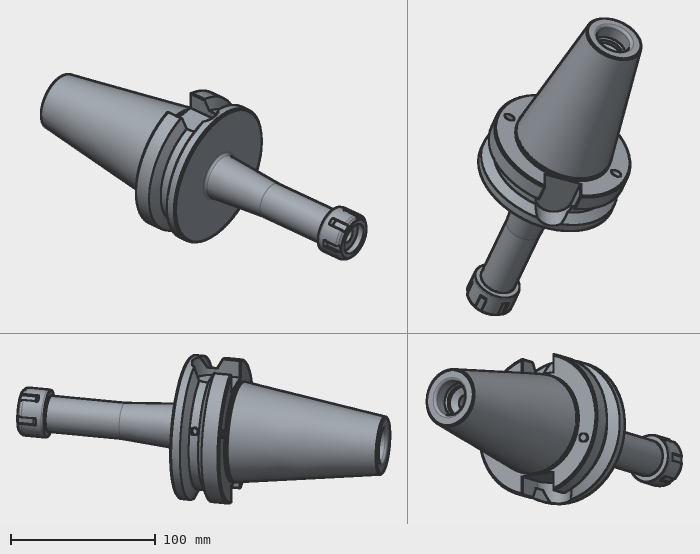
import cadquery as cq
import math

TAPER_END = 101.8
FLANGE_FRONT = 104.9
GROOVE_FRONT = 117.2
GROOVE_REAR = 132.5
FLANGE_REAR = 139.8
NECK_START = 141.5
SHANK_START = 185.0
NUT_REAR = 238.0
NUT_FRONT = 257.0
NOSE_END = 251.9

TAPER_RADIUS = 35.0
TAPER_RATIO = 7 / 24
TAPER_TIP_RADIUS = TAPER_RADIUS - TAPER_END * TAPER_RATIO / 2
TIP_CHAMFER = 0.8
RELIEF_DEPTH = 0.8
RELIEF_START = 102.5
RELIEF_END = 104.0
FLANGE_RADIUS = 49.99
FLANGE_CHAMFER = 1.0
GROOVE_RADIUS = 42.5
GROOVE_WALL_ANGLE = 30
GROOVE_WALL_RUN = (FLANGE_RADIUS - GROOVE_RADIUS) * math.tan(math.radians(GROOVE_WALL_ANGLE))

NECK_RADIUS = 16.0
SHANK_RADIUS = 12.5
SHANK_CHAMFER = 0.8
NOSE_RADIUS = 11.0

MOUTH_RADIUS = 14.1
MOUTH_FILLET = 2.0
PILOT_RADIUS = MOUTH_RADIUS - MOUTH_FILLET
PILOT_DEPTH = 10.8
THREAD_RADIUS = 10.5
THREAD_DEPTH = 15.0
DRILL_POINT_ANGLE = 118
COOLANT_RADIUS = 5.1

SLOT_WIDTH = 25.7
SLOT_FLOOR = 35.2
SLOT_END = 136.0
SLOT_BEVEL = 0.8
SLOT_ANGLES = (0, 180)

INLET_RADIUS = 2.8
INLET_PITCH_RADIUS = 41.6
INLET_ANGLES = (20, 200)
INLET_TILT = 40
INLET_DEPTH = 7.7
CROSS_HOLE_RADIUS = 2.5
CROSS_HOLE_DEPTH = 5.1

NUT_RADIUS = 16.7
NUT_REAR_BEVEL = 0.39
NUT_REAR_BEVEL_LENGTH = 1.5
NUT_CHAMFER = 2.3
NUT_CHAMFER_ANGLE = 45
NUT_BLEND = 2.5
NUT_SLOTS = 6
NUT_SLOT_WIDTH = 5.1
NUT_SLOT_START = 243.0
NUT_SLOT_RUNOUT = 2.3
NUT_SLOT_FLOOR = 15.0


def revolve_about_x(profile):
    """Close a half profile and spin it around the spindle axis."""
    return profile.close().revolve(360, (0, 0, 0), (1, 0, 0))


def turn_about_x(body, angle):
    """Turn a body around the spindle axis; positive angles go from +Y towards +Z."""
    return body.rotate((0, 0, 0), (1, 0, 0), angle)


def holder_blank():
    """Taper, V-grooved flange, neck, shank and the nose that carries the nut."""
    relief_radius = TAPER_RADIUS - RELIEF_DEPTH
    rim_radius = FLANGE_RADIUS - FLANGE_CHAMFER
    fillet = NECK_START - FLANGE_REAR
    return revolve_about_x(
        cq.Workplane("XY")
        .moveTo(0, 0)
        .lineTo(0, TAPER_TIP_RADIUS - TIP_CHAMFER)
        .lineTo(TIP_CHAMFER, TAPER_TIP_RADIUS + TIP_CHAMFER * TAPER_RATIO / 2)
        .lineTo(TAPER_END, TAPER_RADIUS)
        .lineTo(RELIEF_START, TAPER_RADIUS)
        .lineTo(RELIEF_START, relief_radius)
        .lineTo(RELIEF_END, relief_radius)
        .lineTo(RELIEF_END, TAPER_RADIUS)
        .lineTo(FLANGE_FRONT, TAPER_RADIUS)
        .lineTo(FLANGE_FRONT, rim_radius)
        .lineTo(FLANGE_FRONT + FLANGE_CHAMFER, FLANGE_RADIUS)
        .lineTo(GROOVE_FRONT, FLANGE_RADIUS)
        .lineTo(GROOVE_FRONT + GROOVE_WALL_RUN, GROOVE_RADIUS)
        .lineTo(GROOVE_REAR - GROOVE_WALL_RUN, GROOVE_RADIUS)
        .lineTo(GROOVE_REAR, FLANGE_RADIUS)
        .lineTo(FLANGE_REAR - FLANGE_CHAMFER, FLANGE_RADIUS)
        .lineTo(FLANGE_REAR, rim_radius)
        .lineTo(FLANGE_REAR, NECK_RADIUS + fillet)
        .radiusArc((NECK_START, NECK_RADIUS), -fillet)
        .lineTo(SHANK_START, SHANK_RADIUS)
        .lineTo(NUT_REAR - SHANK_CHAMFER, SHANK_RADIUS)
        .lineTo(NUT_REAR, SHANK_RADIUS - SHANK_CHAMFER)
        .lineTo(NUT_REAR, NOSE_RADIUS)
        .lineTo(NOSE_END, NOSE_RADIUS)
        .lineTo(NOSE_END, 0)
    )


def holder_bore():
    """Rounded mouth, pilot bore, thread bore with drill point, and coolant bore right through."""
    point_run = (THREAD_RADIUS - COOLANT_RADIUS) / math.tan(math.radians(DRILL_POINT_ANGLE / 2))
    return revolve_about_x(
        cq.Workplane("XY")
        .moveTo(0, 0)
        .lineTo(0, MOUTH_RADIUS)
        .radiusArc((MOUTH_FILLET, PILOT_RADIUS), -MOUTH_FILLET)
        .lineTo(PILOT_DEPTH, PILOT_RADIUS)
        .lineTo(PILOT_DEPTH + PILOT_RADIUS - THREAD_RADIUS, THREAD_RADIUS)
        .lineTo(THREAD_DEPTH, THREAD_RADIUS)
        .lineTo(THREAD_DEPTH + point_run, COOLANT_RADIUS)
        .lineTo(NOSE_END, COOLANT_RADIUS)
        .lineTo(NOSE_END, 0)
    )


def drive_slot():
    """Round-ended drive slot on the +Z side of the flange."""
    half = SLOT_WIDTH / 2
    arc_start = SLOT_END - half
    return (
        cq.Workplane("XY")
        .workplane(offset=SLOT_FLOOR)
        .moveTo(FLANGE_FRONT, -half)
        .lineTo(arc_start, -half)
        .threePointArc((SLOT_END, 0), (arc_start, half))
        .lineTo(FLANGE_FRONT, half)
        .close()
        .extrude(FLANGE_RADIUS - SLOT_FLOOR)
    )


def slot_bevels():
    """Wedges that bevel the edges of a drive slot at the flange front face and at the outer surface."""
    half = SLOT_WIDTH / 2
    rim_height = math.sqrt(FLANGE_RADIUS**2 - half**2)
    bevels = cq.Workplane("XY")
    for side in (-1, 1):
        front_wedge = (
            cq.Workplane("XY")
            .workplane(offset=SLOT_FLOOR)
            .moveTo(FLANGE_FRONT, side * (half + SLOT_BEVEL))
            .lineTo(FLANGE_FRONT + SLOT_BEVEL, side * half)
            .lineTo(FLANGE_FRONT, side * half)
            .close()
            .extrude(FLANGE_RADIUS - SLOT_FLOOR)
        )
        outer_wedge = (
            cq.Workplane("YZ")
            .workplane(offset=FLANGE_FRONT)
            .moveTo(side * half, rim_height - SLOT_BEVEL)
            .lineTo(side * (half + 2 * SLOT_BEVEL), rim_height + SLOT_BEVEL)
            .lineTo(side * half, rim_height + SLOT_BEVEL)
            .close()
            .extrude(GROOVE_FRONT + GROOVE_WALL_RUN - FLANGE_FRONT)
        )
        bevels = bevels.add(front_wedge).add(outer_wedge)
    return bevels.combine()


def coolant_inlet():
    """Inlet drilled into the flange front face, leaning in towards the axis."""
    tilt = math.radians(INLET_TILT)
    axis = cq.Vector(math.cos(tilt), -math.sin(tilt), 0)
    mouth = cq.Vector(FLANGE_FRONT, INLET_PITCH_RADIUS, 0)
    lead = INLET_RADIUS * 2
    return cq.Workplane(
        cq.Solid.makeCylinder(INLET_RADIUS, INLET_DEPTH + lead, mouth - axis * lead, axis)
    )


def cross_hole():
    """Short radial hole in the floor of the V-groove."""
    middle = (GROOVE_FRONT + GROOVE_REAR) / 2
    bottom = GROOVE_RADIUS - CROSS_HOLE_DEPTH
    return cq.Workplane(
        cq.Solid.makeCylinder(
            CROSS_HOLE_RADIUS, CROSS_HOLE_DEPTH * 2, cq.Vector(middle, bottom, 0), cq.Vector(0, 1, 0)
        )
    )


def make_holder():
    holder = holder_blank().cut(holder_bore())
    for angle in SLOT_ANGLES:
        holder = holder.cut(turn_about_x(drive_slot(), angle))
        holder = holder.cut(turn_about_x(slot_bevels(), angle))
    for angle in INLET_ANGLES:
        holder = holder.cut(turn_about_x(coolant_inlet(), angle))
    return holder.cut(turn_about_x(cross_hole(), INLET_ANGLES[0]))


def nut_blank():
    """Ring with a bevelled rear edge and a blended front chamfer."""
    slope = math.radians(NUT_CHAMFER_ANGLE)
    blend_run = NUT_BLEND * math.tan(slope / 2)
    chamfer_start = NUT_FRONT - NUT_CHAMFER
    return revolve_about_x(
        cq.Workplane("XY")
        .moveTo(NUT_REAR, NOSE_RADIUS)
        .lineTo(NUT_REAR, NUT_RADIUS - NUT_REAR_BEVEL)
        .lineTo(NUT_REAR + NUT_REAR_BEVEL_LENGTH, NUT_RADIUS)
        .lineTo(chamfer_start - blend_run, NUT_RADIUS)
        .radiusArc(
            (
                chamfer_start + blend_run * math.cos(slope),
                NUT_RADIUS - blend_run * math.sin(slope),
            ),
            NUT_BLEND,
        )
        .lineTo(NUT_FRONT, NUT_RADIUS - NUT_CHAMFER * math.tan(slope))
        .lineTo(NUT_FRONT, NOSE_RADIUS)
    )


def nut_slot():
    """Wrench slot cutter with a sloped run-out at its rear end."""
    half = NUT_SLOT_WIDTH / 2
    return (
        cq.Workplane("XY")
        .moveTo(NUT_SLOT_START, NUT_RADIUS)
        .lineTo(NUT_SLOT_START + NUT_SLOT_RUNOUT, NUT_SLOT_FLOOR)
        .lineTo(NUT_FRONT, NUT_SLOT_FLOOR)
        .lineTo(NUT_FRONT, NUT_RADIUS)
        .close()
        .extrude(half, both=True)
    )


def make_nut():
    nut = nut_blank()
    for index in range(NUT_SLOTS):
        nut = nut.cut(turn_about_x(nut_slot(), index * 360 / NUT_SLOTS))
    return nut


holder = make_holder()
nut = make_nut()
result = cq.Compound.makeCompound([holder.val(), nut.val()])